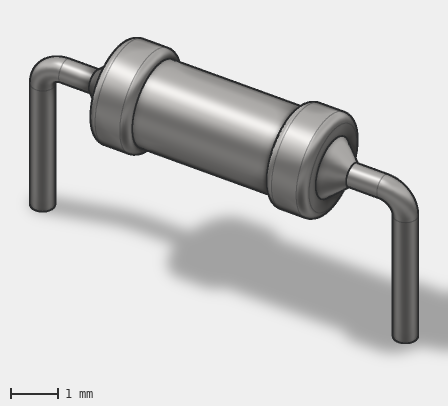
import cadquery as cq

overall_length = 9.44
overall_height = 5.0

body_length = 5.32
core_radius = 1.0
cap_radius = 1.2
cap_width = 1.0
cap_fillet = 0.2
cone_length = 0.49
cone_base_radius = 0.71

lead_diameter = 0.55
bend_radius = lead_diameter

lead_radius = lead_diameter / 2
lead_x = overall_length / 2 - lead_radius
lead_bottom = cap_radius - overall_height
cap_outer_x = body_length / 2
cap_inner_x = cap_outer_x - cap_width


def x_cylinder(radius, start, length):
    """Cylinder on the body axis, starting at X = start."""
    return cq.Workplane("YZ", origin=(start, 0, 0)).circle(radius).extrude(length)


def make_cap():
    """Rounded end cap on the +X side."""
    return x_cylinder(cap_radius, cap_inner_x, cap_width).edges().fillet(cap_fillet)


def make_cone():
    """Taper from the +X cap face down to the lead."""
    return (
        cq.Workplane("XZ")
        .moveTo(cap_outer_x, 0)
        .lineTo(cap_outer_x, cone_base_radius)
        .lineTo(cap_outer_x + cone_length, lead_radius)
        .lineTo(cap_outer_x + cone_length, 0)
        .close()
        .revolve(360, (0, 0), (1, 0))
    )


def make_lead():
    """Wire that leaves the +X cap and bends down."""
    path = (
        cq.Workplane("XZ")
        .moveTo(cap_outer_x, 0)
        .lineTo(lead_x - bend_radius, 0)
        .tangentArcPoint((lead_x, -bend_radius), relative=False)
        .lineTo(lead_x, lead_bottom)
    )
    return cq.Workplane("YZ", origin=(cap_outer_x, 0, 0)).circle(lead_radius).sweep(path)


core = x_cylinder(core_radius, -cap_outer_x, body_length)
end = make_cap().union(make_cone()).union(make_lead())
result = core.union(end).union(end.mirror("YZ"))